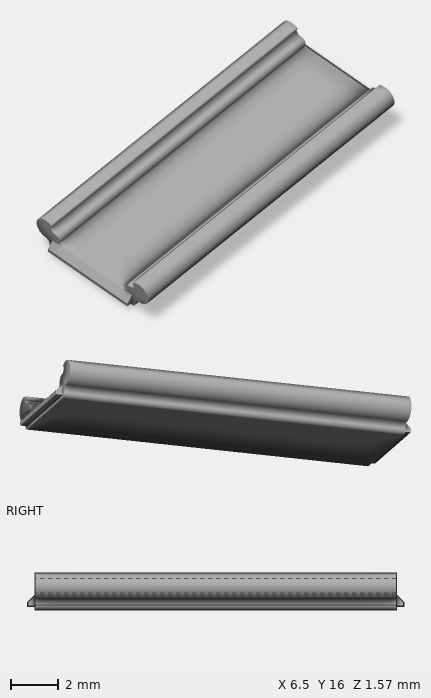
import cadquery as cq
import math

width = 6.5
height = 1.57
length = 16.0

tongue_reach = 0.3
tongue_width = 4.6
tongue_bottom = 0.15
body_length = length - 2 * tongue_reach

floor_z = 0.62
floor_half_width = 1.71
floor_fillet = 0.24
crease_half_width = 1.9
lobe_x = 2.18
lobe_z = 0.82
cove_radius = 0.27
bead_radius = 0.1
bead_x = 2.46
bead_z = 1.42
head_radius = 0.55
under_radius = 0.25
foot_x = 2.48
bottom_radius = 0.2

head_x = width / 2 - head_radius
head_z = height - head_radius
lobe_radius = lobe_x - crease_half_width
fillet_z = floor_z + floor_fillet
fillet_angle = math.degrees(math.asin((crease_half_width - floor_half_width) / floor_fillet))
cove_z = lobe_z + lobe_radius + cove_radius

bead_dx = bead_x - lobe_x
bead_dz = bead_z - cove_z
bead_distance = math.hypot(bead_dx, bead_dz)
along = (cove_radius**2 - bead_radius**2 + bead_distance**2) / (2 * bead_distance)
across = math.sqrt(cove_radius**2 - along**2)
joint_x = lobe_x + (along * bead_dx + across * bead_dz) / bead_distance
joint_z = cove_z + (along * bead_dz - across * bead_dx) / bead_distance

under_x = foot_x + under_radius
under_z = head_z - math.sqrt((head_radius + under_radius) ** 2 - (under_x - head_x) ** 2)
neck_share = head_radius / (head_radius + under_radius)
neck_x = head_x + (under_x - head_x) * neck_share
neck_z = head_z + (under_z - head_z) * neck_share
bottom_x = foot_x - bottom_radius


def on_circle(x, z, radius, degrees):
    angle = math.radians(degrees)
    return (x + radius * math.cos(angle), z + radius * math.sin(angle))


def make_half_body():
    """Extrude the +X half of the moulded channel along Y."""
    under_start = math.degrees(math.atan2(neck_z - under_z, neck_x - under_x))
    under_middle = (under_start + 180) / 2
    return (
        cq.Workplane("XZ")
        .moveTo(0, 0)
        .lineTo(0, floor_z)
        .lineTo(floor_half_width, floor_z)
        .threePointArc(
            on_circle(floor_half_width, fillet_z, floor_fillet, fillet_angle / 2 - 90),
            on_circle(floor_half_width, fillet_z, floor_fillet, fillet_angle - 90),
        )
        .lineTo(crease_half_width, lobe_z)
        .threePointArc(on_circle(lobe_x, lobe_z, lobe_radius, 135), (lobe_x, lobe_z + lobe_radius))
        .threePointArc(on_circle(lobe_x, cove_z, cove_radius, -60), (joint_x, joint_z))
        .threePointArc(on_circle(bead_x, bead_z, bead_radius, 180), (bead_x, bead_z + bead_radius))
        .lineTo(head_x, height)
        .threePointArc((width / 2, head_z), (neck_x, neck_z))
        .threePointArc(on_circle(under_x, under_z, under_radius, under_middle), (foot_x, under_z))
        .lineTo(foot_x, bottom_radius)
        .threePointArc(on_circle(bottom_x, bottom_radius, bottom_radius, -45), (bottom_x, 0))
        .close()
        .extrude(body_length / 2, both=True)
    )


def make_tongues():
    """Make one bar through the body whose two ends slope down at 45 degrees."""
    return (
        cq.Workplane("YZ")
        .moveTo(-length / 2, tongue_bottom)
        .lineTo(length / 2, tongue_bottom)
        .lineTo(length / 2, floor_z - tongue_reach)
        .lineTo(body_length / 2, floor_z)
        .lineTo(-body_length / 2, floor_z)
        .lineTo(-length / 2, floor_z - tongue_reach)
        .close()
        .extrude(tongue_width / 2, both=True)
    )


half_body = make_half_body()
body = half_body.union(half_body.mirror("YZ"))
result = body.union(make_tongues()).clean()